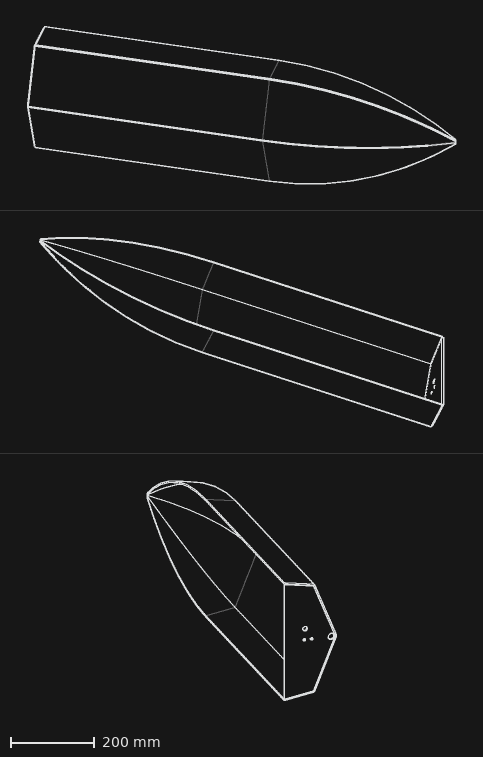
import cadquery as cq
import math

length = 1032.0
bow_start = 589.0
plank_thickness = 4.0
transom_thickness = 5.0
transom_overhang = 3.0

rail = (0.0, 147.0)
chine = (-73.0, 134.0)
keel = (-128.0, 0.0)

tip_scale = 0.01
bow_section_count = 9

drain_diameter = 15.0
drain_y = -118.0
cable_hole_diameter = 11.0
cable_hole_y = -52.0
cable_hole_z = 28.0
screw_hole_diameter = 6.0
screw_hole_ys = (-50.0, -68.0)


def bow_scale(x):
    """Section size at x: an arc tangent to the straight hull, reaching tip_scale at the tip."""
    bow_length = length - bow_start
    drop = (1 - tip_scale) * rail[1]
    radius = (bow_length**2 + drop**2) / (2 * drop)
    arc_drop = radius - math.sqrt(radius**2 - (x - bow_start) ** 2)
    return 1 - arc_drop / rail[1]


def outward(start, end):
    """Offset across the plank thickness, square to the line from start to end."""
    dy, dz = end[0] - start[0], end[1] - start[1]
    ratio = plank_thickness / math.hypot(dy, dz)
    return dz * ratio, -dy * ratio


def midpoint(first, second):
    return (first[0] + second[0]) / 2, (first[1] + second[1]) / 2


side_offset = outward(rail, chine)
bottom_offset = outward(chine, keel)
rail_offset = (0, plank_thickness**2 / side_offset[1])
chine_offset = midpoint(side_offset, bottom_offset)
keel_offset = (bottom_offset[0], 0)

no_offset = (0, 0)
side_corners = [
    (rail, no_offset),
    (chine, no_offset),
    (chine, chine_offset),
    (chine, side_offset),
    (rail, rail_offset),
]
bottom_corners = [
    (chine, no_offset),
    (keel, no_offset),
    (keel, keel_offset),
    (keel, bottom_offset),
    (chine, bottom_offset),
    (chine, chine_offset),
]


def plank_section(corners, x, scale):
    """Plank section at x: the inner corners are scaled, the thickness is not."""
    points = [
        cq.Vector(x, y * scale + offset_y, z * scale + offset_z)
        for (y, z), (offset_y, offset_z) in corners
    ]
    return cq.Wire.makePolygon(points, close=True)


def make_plank(corners):
    """Plank of the +Z half: straight from the stern, then curving in to the bow tip."""
    straight = cq.Solid.makeLoft(
        [plank_section(corners, x, 1) for x in (transom_overhang, bow_start)], True
    )
    step = (length - bow_start) / (bow_section_count - 1)
    stations = [bow_start + i * step for i in range(bow_section_count)]
    bow = cq.Solid.makeLoft([plank_section(corners, x, bow_scale(x)) for x in stations])
    return cq.Workplane(straight.fuse(bow).Solids()[0])


def make_side_plank():
    return make_plank(side_corners)


def make_bottom_plank():
    return make_plank(bottom_corners)


def make_transom():
    """Plate filling the inner hull section at the stern, with its through holes."""
    mirrored = [(y, -z) for y, z in (chine, rail)]
    plate = (
        cq.Workplane("YZ")
        .polyline([rail, chine, keel, *mirrored])
        .close()
        .extrude(transom_thickness)
    )
    holes = (
        cq.Workplane("YZ")
        .pushPoints([(drain_y, 0)])
        .circle(drain_diameter / 2)
        .pushPoints([(cable_hole_y, cable_hole_z)])
        .circle(cable_hole_diameter / 2)
        .pushPoints([(y, 0) for y in screw_hole_ys])
        .circle(screw_hole_diameter / 2)
        .extrude(transom_thickness)
    )
    return plate.cut(holes)


transom = make_transom()
planks = []
for plank in (make_side_plank(), make_bottom_plank()):
    planks.append(plank.val())
    planks.append(plank.mirror("XY").val())

result = cq.Compound.makeCompound([transom.val(), *planks])